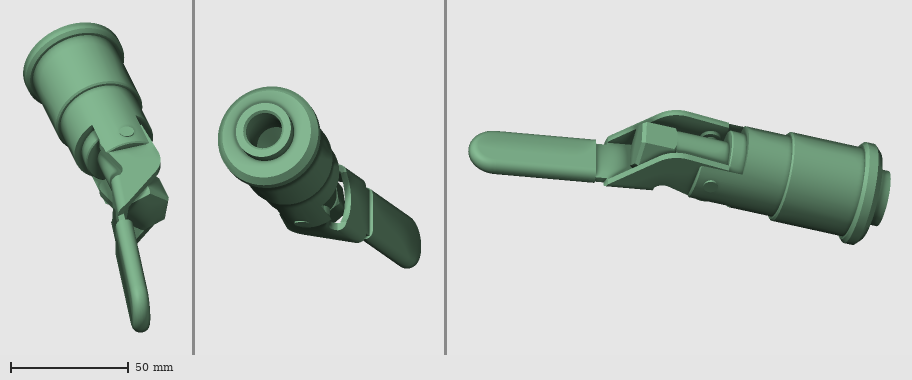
import cadquery as cq
import math


NOSE_D = 24.2
BORE_D = 15.8
BORE_MOUTH_D = 17.8
BORE_DEPTH = 21.3
BORE_TIP_ANGLE = 118.0
FLANGE_D = 44.2
FLANGE_START = 5.9
FLANGE_FRONT_CHAMFER = 2.7
FLANGE_BACK_CHAMFER = 1.5
FLANGE_END = 13.9
BODY_D = 38.9
BODY_END = 45.8
BODY_CHAMFER = 0.7
TUBE_D = 35.4
TUBE_END = 65.0
EAR_END = 84.2
EAR_WIDTH = 19.7
EDGE_BREAK = 0.5
SLEEVE_D = 29.0
SLEEVE_END = 71.5

ROD_D = 18.8
HEAD_CORNER_D = 22.4
HEAD_START = 94.5
HEAD_END = 110.0
HEAD_FRONT_CHAMFER = 1.0
HEAD_TIP_LENGTH = 1.6
HEAD_TIP_TAPER = 30.0
HEAD_CORNER_TURN = 30.0
HEAD_TURN = 9.0

PIN_D = 6.2
PIN_LENGTH = 36.0
PIN_X = 77.3
PIN_Y = 1.8
PIN_COLLAR_D = 9.6
PIN_COLLAR_START = 9.6

LEVER_WIDTH = 29.5
ARM_THICKNESS = 3.2
WEB_THICKNESS = 2.7
BEND_R = 3.7
HANDLE_TILT = 10.0
ARM_START = 71.6
ARM_TOP_Y = 10.3
ARM_HEEL_R = 6.2
ARM_HEEL_Y = -4.0
ARM_TOP_RISE = 4.0
ARM_BOTTOM_RISE = 15.0
ARM_BACK_FALL = 49.0
ARM_BACK_X = 107.8
ARM_TOP_BLEND_R = 14.2
ARM_THROAT_X = 93.5
ARM_THROAT_R = 5.3
WEB_START = 99.3
WEB_END = 119.7
ARM_BACK_END = 118.7
WEB_WINDOW_R = 15.3
WEB_WINDOW_END = 104.1
WEB_OFFSET = 2.1
TANG_WIDTH = 20.6

GRIP_WIDTH = 23.1
GRIP_THICKNESS = 7.5
GRIP_EDGE_R = 3.5
GRIP_LENGTH = 54.5
TIP_X = 177.6
TOTAL_DEPTH = 49.4
TIP_LOW_Y = FLANGE_D / 2 - TOTAL_DEPTH

BEYOND = 53.3


def sine(angle):
    return math.sin(math.radians(angle))


def cosine(angle):
    return math.cos(math.radians(angle))


def tangent(angle):
    return math.tan(math.radians(angle))


def on_circle(center, radius, angle):
    """Point on a circle, the angle measured from +X towards +Y."""
    return center[0] + radius * cosine(angle), center[1] + radius * sine(angle)


def meet(point_a, angle_a, point_b, angle_b):
    """Crossing of two lines, each given by a point and a direction angle."""
    slope_a, slope_b = tangent(angle_a), tangent(angle_b)
    x = (point_b[1] - point_a[1] + slope_a * point_a[0] - slope_b * point_b[0]) / (slope_a - slope_b)
    return x, point_a[1] + slope_a * (x - point_a[0])


def x_cylinder(diameter, start, end):
    return cq.Workplane("YZ", origin=(start, 0, 0)).circle(diameter / 2).extrude(end - start)


def z_cylinder(diameter, length):
    return cq.Workplane("XY", origin=(PIN_X, PIN_Y, 0)).circle(diameter / 2).extrude(length / 2, both=True)


def x_turned(points):
    """Solid of revolution about X from (x, radius) points, listed along the axis."""
    outline = [(points[0][0], 0)] + points
    if points[-1][1] > 0:
        outline.append((points[-1][0], 0))
    return cq.Workplane("XY").polyline(outline).close().revolve(360, (0, 0, 0), (1, 0, 0))


def make_nose_and_body():
    nose_r, flange_r, body_r = NOSE_D / 2, FLANGE_D / 2, BODY_D / 2
    return x_turned([
        (0, nose_r),
        (FLANGE_START, nose_r),
        (FLANGE_START, flange_r - FLANGE_FRONT_CHAMFER),
        (FLANGE_START + FLANGE_FRONT_CHAMFER, flange_r),
        (FLANGE_END - FLANGE_BACK_CHAMFER, flange_r),
        (FLANGE_END, flange_r - FLANGE_BACK_CHAMFER),
        (FLANGE_END, body_r),
        (BODY_END - BODY_CHAMFER, body_r),
        (BODY_END, body_r - BODY_CHAMFER),
    ])


def make_bore():
    """Blind bore with a chamfered mouth and a conical bottom."""
    bore_r, mouth_r = BORE_D / 2, BORE_MOUTH_D / 2
    tip_depth = BORE_DEPTH + bore_r / tangent(BORE_TIP_ANGLE / 2)
    return x_turned([
        (0, mouth_r),
        (mouth_r - bore_r, bore_r),
        (BORE_DEPTH, bore_r),
        (tip_depth, 0),
    ])


def make_tube_with_ears():
    """Thin tube whose end is cut away to leave two ears that carry the pin."""
    tube_r = TUBE_D / 2
    tube = x_turned([
        (BODY_END, tube_r),
        (EAR_END - EDGE_BREAK, tube_r),
        (EAR_END, tube_r - EDGE_BREAK),
    ])
    ear_length = EAR_END - TUBE_END
    ear_x = TUBE_END + ear_length / 2
    ear_zone = cq.Workplane("XY").box(ear_length, TUBE_D, TUBE_D).translate((ear_x, 0, 0))
    ears_kept = cq.Workplane("XY").box(ear_length, EAR_WIDTH, TUBE_D).translate((ear_x, 0, 0))
    lever_gap = cq.Workplane("XY").box(ear_length, EAR_WIDTH, LEVER_WIDTH).translate((ear_x, 0, 0))
    return tube.cut(ear_zone.cut(ears_kept)).cut(lever_gap)


def make_sleeve():
    sleeve_r = SLEEVE_D / 2
    return x_turned([
        (BODY_END, sleeve_r),
        (SLEEVE_END - EDGE_BREAK, sleeve_r),
        (SLEEVE_END, sleeve_r - EDGE_BREAK),
    ])


def hexagon(x):
    """Outline of the turned hexagonal head in a plane square to X."""
    return (
        cq.Workplane("YZ", origin=(x, 0, 0))
        .transformed(rotate=(0, 0, HEAD_CORNER_TURN - HEAD_TURN))
        .polygon(6, HEAD_CORNER_D)
    )


def make_rod():
    rod = x_cylinder(ROD_D, BODY_END, HEAD_START)
    tip_start = HEAD_END - HEAD_TIP_LENGTH
    head = hexagon(HEAD_START).extrude(tip_start - HEAD_START)
    tip = hexagon(tip_start).extrude(HEAD_TIP_LENGTH, taper=HEAD_TIP_TAPER)
    corner_r = HEAD_CORNER_D / 2
    chamfered_blank = x_turned([
        (HEAD_START, corner_r - HEAD_FRONT_CHAMFER),
        (HEAD_START + HEAD_FRONT_CHAMFER, corner_r),
        (HEAD_END, corner_r),
    ])
    return rod.union(head.intersect(chamfered_blank)).union(tip)


def make_pin():
    pin = z_cylinder(PIN_D, PIN_LENGTH)
    collars = z_cylinder(PIN_COLLAR_D, LEVER_WIDTH - ARM_THICKNESS)
    collars = collars.cut(z_cylinder(PIN_COLLAR_D, 2 * PIN_COLLAR_START))
    return pin.union(collars)


EDGE_FLAT = GRIP_THICKNESS / 2 - GRIP_EDGE_R
TIP_REACH = GRIP_EDGE_R + EDGE_FLAT * (cosine(HANDLE_TILT) + sine(HANDLE_TILT))
TIP_CENTER = (TIP_X - TIP_REACH, TIP_LOW_Y + TIP_REACH)


def handle_point(along, above):
    """Point in the XY plane, measured from the tip centre along and square to the handle."""
    return (
        TIP_CENTER[0] + along * cosine(HANDLE_TILT) + above * sine(HANDLE_TILT),
        TIP_CENTER[1] - along * sine(HANDLE_TILT) + above * cosine(HANDLE_TILT),
    )


def web_face_point(x, above_face):
    """Point at a given X on a line parallel to the web, above its outer face."""
    start = handle_point(0, above_face - WEB_OFFSET)
    return x, start[1] - (x - start[0]) * tangent(HANDLE_TILT)


def make_arm_block():
    """Solid block as wide as the lever, with its web edges rounded by the bend."""
    heel_center = (ARM_START + ARM_HEEL_R, ARM_HEEL_Y)
    bottom_angle = -90 + ARM_BOTTOM_RISE
    start_top = (ARM_START, ARM_TOP_Y)
    heel_start = (ARM_START, ARM_HEEL_Y)
    heel_mid = on_circle(heel_center, ARM_HEEL_R, (bottom_angle - 180) / 2)
    heel_end = on_circle(heel_center, ARM_HEEL_R, bottom_angle)
    back = (ARM_BACK_X, 0)

    crest = meet(start_top, ARM_TOP_RISE, back, -ARM_BACK_FALL)
    reach = ARM_TOP_BLEND_R * tangent((ARM_TOP_RISE + ARM_BACK_FALL) / 2)
    blend_start = on_circle(crest, reach, 180 + ARM_TOP_RISE)
    blend_end = on_circle(crest, reach, -ARM_BACK_FALL)
    blend_center = on_circle(blend_start, ARM_TOP_BLEND_R, ARM_TOP_RISE - 90)
    blend_mid = on_circle(blend_center, ARM_TOP_BLEND_R, 90 + (ARM_TOP_RISE - ARM_BACK_FALL) / 2)

    throat_start = (ARM_THROAT_X, heel_end[1] + (ARM_THROAT_X - heel_end[0]) * tangent(ARM_BOTTOM_RISE))
    throat_center = on_circle(throat_start, ARM_THROAT_R, bottom_angle)
    throat_angle = math.degrees(math.acos((WEB_START - throat_center[0]) / ARM_THROAT_R))
    throat_end = on_circle(throat_center, ARM_THROAT_R, throat_angle)
    throat_mid = on_circle(throat_center, ARM_THROAT_R, (90 + ARM_BOTTOM_RISE + throat_angle) / 2)

    web_start = web_face_point(WEB_START, 0)
    web_end = web_face_point(WEB_END, 0)
    back_end = (ARM_BACK_END, (ARM_BACK_X - ARM_BACK_END) * tangent(ARM_BACK_FALL))
    block = (
        cq.Workplane("XY", origin=(0, 0, -LEVER_WIDTH / 2))
        .moveTo(*heel_end)
        .lineTo(*throat_start)
        .threePointArc(throat_mid, throat_end)
        .lineTo(*web_start)
        .lineTo(*web_end)
        .lineTo(*back_end)
        .lineTo(*blend_end)
        .threePointArc(blend_mid, blend_start)
        .lineTo(*start_top)
        .lineTo(*heel_start)
        .threePointArc(heel_mid, heel_end)
        .close()
        .extrude(LEVER_WIDTH)
    )
    web_mid = ((web_start[0] + web_end[0]) / 2, (web_start[1] + web_end[1]) / 2)
    for side in (-1, 1):
        corner = (*web_mid, side * LEVER_WIDTH / 2)
        block = block.edges(cq.selectors.NearestToPointSelector(corner)).fillet(BEND_R)
    return block


def make_lever():
    floor_start = web_face_point(ARM_START, WEB_THICKNESS)
    floor_end = web_face_point(TIP_X, WEB_THICKNESS)
    gap = LEVER_WIDTH - 2 * ARM_THICKNESS
    hollow = (
        cq.Workplane("XY", origin=(0, 0, -gap / 2))
        .polyline([floor_start, floor_end, (TIP_X, BEYOND), (ARM_START, BEYOND)])
        .close()
        .extrude(gap)
    )
    window_x = WEB_WINDOW_END - WEB_WINDOW_R
    window = (
        cq.Workplane("XZ")
        .moveTo(ARM_START, -WEB_WINDOW_R)
        .lineTo(window_x, -WEB_WINDOW_R)
        .threePointArc((WEB_WINDOW_END, 0), (window_x, WEB_WINDOW_R))
        .lineTo(ARM_START, WEB_WINDOW_R)
        .close()
        .extrude(BEYOND)
        .intersect(cq.Workplane("XY").box(2 * TIP_X, 2 * BEYOND, gap))
    )
    return make_arm_block().cut(hollow).cut(window).union(make_tang())


def make_tang():
    """Narrow strip that carries the web on into the grip."""
    grip_middle = -GRIP_LENGTH / 2
    outline = [
        web_face_point(WEB_WINDOW_END, 0),
        handle_point(grip_middle, -WEB_OFFSET),
        handle_point(grip_middle, WEB_THICKNESS - WEB_OFFSET),
        web_face_point(WEB_WINDOW_END, WEB_THICKNESS),
    ]
    return (
        cq.Workplane("XY", origin=(0, 0, -TANG_WIDTH / 2))
        .polyline(outline)
        .close()
        .extrude(TANG_WIDTH)
    )


def make_grip():
    """Flat grip with a semicircular end and rounded long edges."""
    half_width = GRIP_WIDTH / 2
    tip = GRIP_THICKNESS / 2
    arc_start = tip - half_width
    start = tip - GRIP_LENGTH
    grip = (
        cq.Workplane("XZ", origin=(0, GRIP_THICKNESS / 2, 0))
        .moveTo(start, -half_width)
        .lineTo(arc_start, -half_width)
        .threePointArc((tip, 0), (arc_start, half_width))
        .lineTo(start, half_width)
        .close()
        .extrude(GRIP_THICKNESS)
    )
    grip = grip.edges("(|X) or (%CIRCLE)").fillet(GRIP_EDGE_R)
    return grip.rotate((0, 0, 0), (0, 0, 1), -HANDLE_TILT).translate((*TIP_CENTER, 0))


result = (
    make_nose_and_body()
    .union(make_tube_with_ears())
    .union(make_sleeve())
    .union(make_rod())
    .cut(make_bore())
    .union(make_lever())
    .union(make_pin())
    .union(make_grip())
)